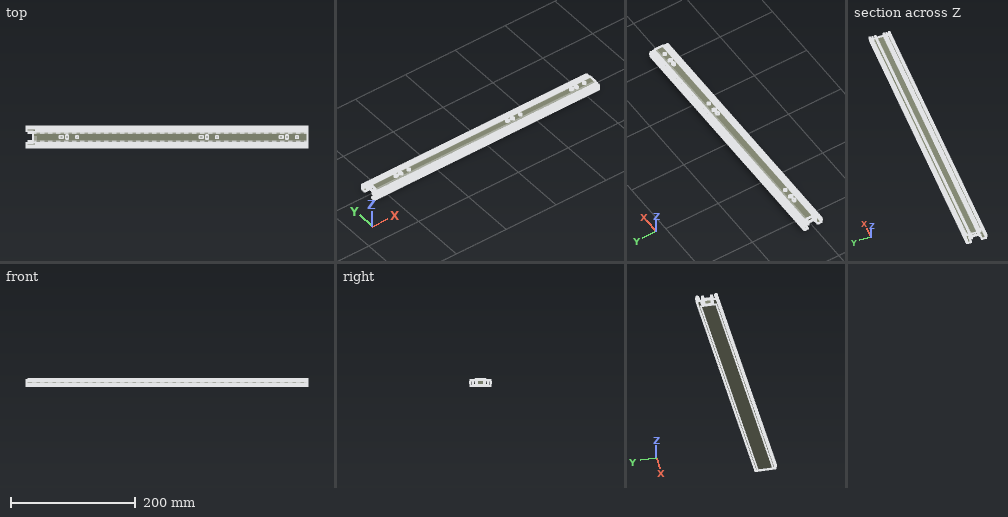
import cadquery as cq

LENGTH = 450.0
HEIGHT = 12.2
HALF_WIDTH = 17.5
SHEET = 1.3

OUTER_HEIGHT = 10.65
WALL_FACE_Y = 16.75
OUTER_CORNER_RADIUS = 0.9
OUTER_WALL = 0.6
BULGE_CENTER_Z = HEIGHT / 2
BULGE_HALF_HEIGHT = 1.6
RIB_DEPTH = 0.3
RIB_BOTTOM_Z = 3.5
RIB_TOP_Z = 7.3
LIP_STEP_Y = 15.0
LIP_END_Y = 13.4
LIP_BOTTOM_Z = 9.0
TONGUE_TOP_Z = 9.75
NOTCH_DEPTH = 10.2
NOTCH_HALF_WIDTH = 9.2
STOP_HALF_WIDTH = 5.8
STOP_TOP_Z = 10.1

MIDDLE_SHEET = 0.9
MIDDLE_START_X = 14.7
MIDDLE_HALF_WIDTH = 12.55
MIDDLE_TOP_Z = 10.7
MIDDLE_CORNER_RADIUS = 1.05
MIDDLE_LIP_END_Y = 10.4

INNER_START_X = 3.0
INNER_HALF_WIDTH = 8.8
INNER_TOP_HALF_WIDTH = 6.3
INNER_CORNER_RADIUS = INNER_HALF_WIDTH - INNER_TOP_HALF_WIDTH
JOG_TOP_Z = 8.0
JOG_BOTTOM_Z = 6.5
JOG_DEPTH = 1.3
ARM_END_Z = 4.9
INNER_WEB_START_X = NOTCH_DEPTH

RASTER = 32.0
FIRST_HOLE_X = 81.0
GROUP_STEPS = (0, 7, 11)
HOLE_DIAMETER = 4.6
SLOT_LENGTH = 6.8
CROSS_SLOT_OFFSET = -16.0
LONG_SLOT_OFFSET = -25.2


def extrude_rail(half_outline, start_x):
    """Close a half outline at y >= 0, extrude it to the rear end and mirror it to both sides."""
    half = half_outline.close().extrude(LENGTH - start_x)
    return half.union(half.mirror("XZ"))


def section_plane(start_x):
    """YZ section at start_x: local x is Y and local y is Z."""
    return cq.Workplane("YZ", origin=(start_x, 0, 0))


def centered_box(start_x, bottom_z, length, width, height):
    """Box centered on y = 0 that starts at start_x and bottom_z."""
    plane = cq.Workplane("XY", origin=(start_x, 0, bottom_z))
    return plane.box(length, width, height, centered=(False, True, False))


def make_outer_rail():
    """Channel with bulged side walls, stepped lips, an open web front and an upright stop."""
    radius = OUTER_CORNER_RADIUS
    inside_y = WALL_FACE_Y - OUTER_WALL
    corner_y = WALL_FACE_Y - radius
    bulge_bottom_z = BULGE_CENTER_Z - BULGE_HALF_HEIGHT
    bulge_top_z = BULGE_CENTER_Z + BULGE_HALF_HEIGHT
    outline = (
        section_plane(0)
        .moveTo(0, 0)
        .lineTo(corner_y, 0)
        .radiusArc((WALL_FACE_Y, radius), -radius)
        .lineTo(WALL_FACE_Y, bulge_bottom_z)
        .threePointArc((HALF_WIDTH, BULGE_CENTER_Z), (WALL_FACE_Y, bulge_top_z))
        .lineTo(WALL_FACE_Y, OUTER_HEIGHT - radius)
        .radiusArc((corner_y, OUTER_HEIGHT), -radius)
        .lineTo(LIP_STEP_Y, OUTER_HEIGHT)
        .lineTo(LIP_STEP_Y, TONGUE_TOP_Z)
        .lineTo(LIP_END_Y, TONGUE_TOP_Z)
        .lineTo(LIP_END_Y, LIP_BOTTOM_Z)
        .lineTo(inside_y, LIP_BOTTOM_Z)
        .lineTo(inside_y, RIB_TOP_Z)
        .lineTo(inside_y - RIB_DEPTH, RIB_TOP_Z)
        .lineTo(inside_y - RIB_DEPTH, RIB_BOTTOM_Z)
        .lineTo(inside_y, RIB_BOTTOM_Z)
        .lineTo(inside_y, SHEET)
        .lineTo(0, SHEET)
    )
    rail = extrude_rail(outline, 0)
    notch = centered_box(0, 0, NOTCH_DEPTH, 2 * NOTCH_HALF_WIDTH, SHEET)
    stop = centered_box(NOTCH_DEPTH, 0, SHEET, 2 * STOP_HALF_WIDTH, STOP_TOP_Z)
    return rail.cut(notch).union(stop)


def make_middle_rail():
    """Plain lipped channel resting on the outer web."""
    radius = MIDDLE_CORNER_RADIUS
    inside_radius = radius - MIDDLE_SHEET
    inside_y = MIDDLE_HALF_WIDTH - MIDDLE_SHEET
    corner_y = MIDDLE_HALF_WIDTH - radius
    corner_z = MIDDLE_TOP_Z - radius
    web_bottom_z = SHEET
    web_top_z = web_bottom_z + MIDDLE_SHEET
    outline = (
        section_plane(MIDDLE_START_X)
        .moveTo(0, web_bottom_z)
        .lineTo(MIDDLE_HALF_WIDTH, web_bottom_z)
        .lineTo(MIDDLE_HALF_WIDTH, corner_z)
        .radiusArc((corner_y, MIDDLE_TOP_Z), -radius)
        .lineTo(MIDDLE_LIP_END_Y, MIDDLE_TOP_Z)
        .lineTo(MIDDLE_LIP_END_Y, MIDDLE_TOP_Z - MIDDLE_SHEET)
        .lineTo(corner_y, MIDDLE_TOP_Z - MIDDLE_SHEET)
        .radiusArc((inside_y, corner_z), inside_radius)
        .lineTo(inside_y, web_top_z)
        .lineTo(0, web_top_z)
    )
    return extrude_rail(outline, MIDDLE_START_X)


def cut_mounting_holes(rail):
    """Cut a round hole, a cross slot and a long slot through the web at each group."""
    web = cq.Workplane("XY", origin=(0, 0, HEIGHT - SHEET))
    for steps in GROUP_STEPS:
        hole_x = FIRST_HOLE_X + steps * RASTER
        rail = rail.cut(web.center(hole_x, 0).circle(HOLE_DIAMETER / 2).extrude(SHEET))
        for offset, angle in ((CROSS_SLOT_OFFSET, 90), (LONG_SLOT_OFFSET, 0)):
            slot = web.center(hole_x + offset, 0).slot2D(SLOT_LENGTH, HOLE_DIAMETER, angle)
            rail = rail.cut(slot.extrude(SHEET))
    return rail


def make_inner_rail():
    """Downward channel with rounded shoulders and jogged arms; its web starts behind the arms."""
    radius = INNER_CORNER_RADIUS
    inside_radius = radius - SHEET
    inside_y = INNER_HALF_WIDTH - SHEET
    corner_z = HEIGHT - radius
    jogged_y = INNER_HALF_WIDTH - JOG_DEPTH
    outline = (
        section_plane(INNER_START_X)
        .moveTo(0, HEIGHT)
        .lineTo(INNER_TOP_HALF_WIDTH, HEIGHT)
        .radiusArc((INNER_HALF_WIDTH, corner_z), radius)
        .lineTo(INNER_HALF_WIDTH, JOG_TOP_Z)
        .lineTo(jogged_y, JOG_BOTTOM_Z)
        .lineTo(jogged_y, ARM_END_Z)
        .lineTo(jogged_y - SHEET, ARM_END_Z)
        .lineTo(jogged_y - SHEET, JOG_BOTTOM_Z)
        .lineTo(inside_y, JOG_TOP_Z)
        .lineTo(inside_y, corner_z)
        .radiusArc((INNER_TOP_HALF_WIDTH, HEIGHT - SHEET), -inside_radius)
        .lineTo(0, HEIGHT - SHEET)
    )
    rail = extrude_rail(outline, INNER_START_X)
    web_cutback = centered_box(
        INNER_START_X,
        HEIGHT - SHEET,
        INNER_WEB_START_X - INNER_START_X,
        2 * INNER_TOP_HALF_WIDTH,
        SHEET,
    )
    return cut_mounting_holes(rail.cut(web_cutback))


outer_rail = make_outer_rail()
middle_rail = make_middle_rail()
inner_rail = make_inner_rail()

result = cq.Compound.makeCompound([outer_rail.val(), middle_rail.val(), inner_rail.val()])